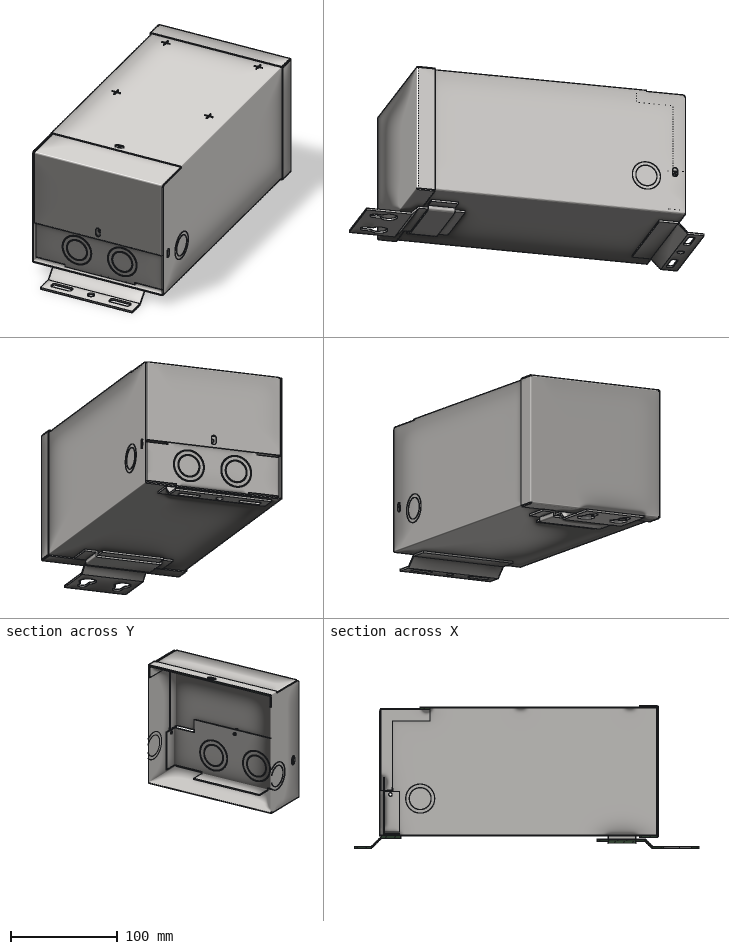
import cadquery as cq
import math


OVERALL_LENGTH = 322.44

SHEET = 1.2
BEND = 2.0
TIGHT_BEND = 1.5
STRAP_SHEET = 1.9
CUTTER = 500.0

CAP_WIDTH = 139.9
CAP_TOP = 133.57
CAP_BOTTOM = 10.3
CAP_REAR = 261.0
CAP_DEPTH = 18.2

SHELL_WIDTH = CAP_WIDTH - 2 * SHEET
SHELL_TOP = CAP_TOP - SHEET
SHELL_BOTTOM = CAP_BOTTOM + SHEET
SHELL_REAR = CAP_REAR - BEND
SHELL_INNER_WIDTH = SHELL_WIDTH - 2 * SHEET
FLOOR_TOP = SHELL_BOTTOM + SHEET
ROOF_BOTTOM = SHELL_TOP - SHEET
ROOF_FRONT = 37.7
WALL_CORNER = 3.0

CROSS_LENGTH = 8.6
CROSS_WIDTH = 0.9
CROSS_X = 48.6
CROSS_REAR_Y = 234.2
CROSS_PITCH_Y = 102.0

SLOT_LENGTH = 8.9
SLOT_WIDTH = 4.9
PILOT_DIAMETER = 3.0
ROOF_SLOT_Y = 44.2
WALL_SLOT_Y = 10.0
WALL_SLOT_Z = 52.9
FRONT_SLOT_Z = 61.9

COVER_BOTTOM = 54.4
COVER_REAR = 47.3
COVER_FLANGE = 12.0

PANEL_Y = 3.4
PANEL_SHOULDER = 53.4
PANEL_LOWER_EDGE = 15.6
PANEL_DEPTH = 15.0
TONGUE_HALF_WIDTH = 44.8
TONGUE_TOP = 66.5
FOOT_HALF_WIDTH = 36.5
WALL_PILOT_Z = 50.6

KNOCKOUT_DEPTH = SHEET / 4
FRONT_KNOCKOUT_X = 23.8
FRONT_KNOCKOUT_Z = 34.7
FRONT_KNOCKOUT_RINGS = (31.0, 22.0)
FRONT_RING_WIDTH = 0.9
WALL_KNOCKOUT_Y = 37.9
WALL_KNOCKOUT_Z = 46.7
WALL_KNOCKOUT_RINGS = (27.3, 20.6)
WALL_RING_WIDTH = 0.15

BRACKET_HALF_WIDTH = 48.2
BRACKET_TIP = -23.7
BRACKET_LOWER_BEND = -7.8
BRACKET_RISE = SHELL_BOTTOM - STRAP_SHEET
BRACKET_REAR = 19.9
BRACKET_HOLE_Y = -14.1
BRACKET_HOLE_DIAMETER = 6.7
BRACKET_SLOT_X = 30.5
BRACKET_SLOT_LENGTH = 21.2
BRACKET_SLOT_WIDTH = 6.5
BRACKET_SLOT_CORNER = 2.2

STRAP_HALF_WIDTH = 30.8
STRAP_TIP = BRACKET_TIP + OVERALL_LENGTH
STRAP_LOWER_BEND = 254.6
STRAP_FRONT = 203.2
STRAP_RISE = 6.8
STRAP_MITRE = STRAP_SHEET * math.tan(math.radians(22.5))
KEYHOLE_X = 17.5
KEYHOLE_Y = 273.5
KEYHOLE_DIAMETER = 16.2
KEYHOLE_NECK_WIDTH = 8.8
KEYHOLE_TOP = 291.5

SADDLE_FRONT = 213.6
SADDLE_REAR = 239.6
SADDLE_CLEARANCE = 0.5
SADDLE_FOOT = 11.0


def block(x_min, x_max, y_min, y_max, z_min, z_max):
    size = (x_max - x_min, y_max - y_min, z_max - z_min)
    return cq.Workplane("XY").box(*size, centered=False).translate((x_min, y_min, z_min))


def wide_block(width, y_min, y_max, z_min, z_max):
    return block(-width / 2, width / 2, y_min, y_max, z_min, z_max)


def front_plane(y):
    """Plane facing -Y, with local axes along X and Z."""
    return cq.Workplane("XZ", origin=(0, y, 0))


def left_plane(x):
    """Plane with local axes along Y and Z."""
    return cq.Workplane("YZ", origin=(x, 0, 0))


def ring_grooves(plane, centre, diameters, ring_width, depth):
    """Ring-shaped cutters, one for each outside diameter."""
    placed = plane.center(*centre)
    rings = cq.Workplane("XY")
    for diameter in diameters:
        inside = diameter - 2 * ring_width
        rings = rings.add(placed.circle(diameter / 2).circle(inside / 2).extrude(depth))
    return rings.combine()


def make_shell():
    tube = wide_block(SHELL_WIDTH, 0, SHELL_REAR, SHELL_BOTTOM, SHELL_TOP).edges("|Y").fillet(TIGHT_BEND)
    inside = wide_block(SHELL_INNER_WIDTH, 0, SHELL_REAR, FLOOR_TOP, ROOF_BOTTOM)
    shell = tube.cut(inside.edges("|Y").fillet(TIGHT_BEND - SHEET))

    wall_top = SHELL_TOP - TIGHT_BEND
    shell = shell.cut(wide_block(CAP_WIDTH, 0, ROOF_FRONT, wall_top, CAP_TOP))
    shell = shell.faces("<Y").edges("|X").edges(">Z").fillet(WALL_CORNER)

    for x in (-CROSS_X, CROSS_X):
        for y in (CROSS_REAR_Y, CROSS_REAR_Y - CROSS_PITCH_Y):
            shell = shell.cut(cross_slit(x, y))

    roof_slot = cq.Workplane("XY", origin=(0, ROOF_SLOT_Y, ROOF_BOTTOM)).slot2D(SLOT_LENGTH, SLOT_WIDTH)
    shell = shell.cut(roof_slot.extrude(2 * SHEET))

    wall_slot = left_plane(0).center(WALL_SLOT_Y, WALL_SLOT_Z).slot2D(SLOT_LENGTH, SLOT_WIDTH, 90)
    shell = shell.cut(wall_slot.extrude(CUTTER, both=True))

    for outer_face, inward in ((-SHELL_WIDTH / 2, 1), (SHELL_WIDTH / 2, -1)):
        shell = shell.cut(ring_grooves(
            left_plane(outer_face), (WALL_KNOCKOUT_Y, WALL_KNOCKOUT_Z),
            WALL_KNOCKOUT_RINGS, WALL_RING_WIDTH, inward * KNOCKOUT_DEPTH))
    return shell


def cross_slit(x, y):
    plane = cq.Workplane("XY", origin=(x, y, ROOF_BOTTOM))
    across = plane.rect(CROSS_LENGTH, CROSS_WIDTH).extrude(2 * SHEET)
    along = plane.rect(CROSS_WIDTH, CROSS_LENGTH).extrude(2 * SHEET)
    return across.union(along)


def make_cap():
    front = CAP_REAR - CAP_DEPTH
    cap = wide_block(CAP_WIDTH, front, CAP_REAR, CAP_BOTTOM, CAP_TOP).edges(">Y").fillet(BEND)
    inside = wide_block(SHELL_WIDTH, front, CAP_REAR - SHEET, SHELL_BOTTOM, SHELL_TOP)
    cap = cap.cut(inside.edges(">Y").fillet(BEND - SHEET))
    corners = (
        cq.Workplane("XZ", origin=(0, CAP_REAR, (CAP_TOP + CAP_BOTTOM) / 2))
        .rect(CAP_WIDTH, CAP_TOP - CAP_BOTTOM, forConstruction=True).vertices()
        .rect(2 * SHEET, 2 * SHEET).extrude(CAP_DEPTH)
    )
    return cap.cut(corners)


def make_cover():
    cover = rounded_cover_block(0, BEND)
    cover = cover.cut(rounded_cover_block(SHEET, BEND - SHEET))
    behind_flanges = wide_block(CAP_WIDTH, COVER_FLANGE, COVER_REAR, 0, ROOF_BOTTOM - COVER_FLANGE)
    cover = cover.cut(behind_flanges)

    front_slot = front_plane(SHEET).center(0, FRONT_SLOT_Z).slot2D(SLOT_LENGTH, SLOT_WIDTH, 90)
    cover = cover.cut(front_slot.extrude(2 * SHEET))
    roof_pilot = cq.Workplane("XY", origin=(0, ROOF_SLOT_Y, ROOF_BOTTOM)).circle(PILOT_DIAMETER / 2)
    return cover.cut(roof_pilot.extrude(-2 * SHEET))


def rounded_cover_block(inset, radius):
    """Cover envelope moved in by the inset at its sides, front and top, with rounded bends."""
    solid = wide_block(SHELL_INNER_WIDTH - 2 * inset, inset, COVER_REAR, COVER_BOTTOM, ROOF_BOTTOM - inset)
    return solid.edges("(<Y and |Z) or (>Z and |Y) or (<Y and >Z)").fillet(radius)


def make_panel():
    rear = PANEL_Y + PANEL_DEPTH
    inner_y = PANEL_Y + SHEET
    inner_width = SHELL_INNER_WIDTH - 2 * SHEET
    panel = wide_block(SHELL_INNER_WIDTH, PANEL_Y, rear, PANEL_LOWER_EDGE, PANEL_SHOULDER)
    panel = panel.edges("<Y and |Z").fillet(BEND)
    hollow = wide_block(inner_width, inner_y, rear, PANEL_LOWER_EDGE, PANEL_SHOULDER)
    panel = panel.cut(hollow.edges("<Y and |Z").fillet(BEND - SHEET))

    panel = panel.union(wide_block(2 * TONGUE_HALF_WIDTH, PANEL_Y, inner_y, PANEL_LOWER_EDGE, TONGUE_TOP))

    foot = wide_block(2 * FOOT_HALF_WIDTH, PANEL_Y, rear, FLOOR_TOP, PANEL_LOWER_EDGE)
    foot = foot.edges("<Y and <Z").fillet(TIGHT_BEND)
    above_foot = wide_block(2 * FOOT_HALF_WIDTH, inner_y, rear, FLOOR_TOP + SHEET, PANEL_LOWER_EDGE)
    panel = panel.union(foot.cut(above_foot.edges("<Y and <Z").fillet(TIGHT_BEND - SHEET)))

    front_pilot = front_plane(inner_y).center(0, FRONT_SLOT_Z).circle(PILOT_DIAMETER / 2)
    panel = panel.cut(front_pilot.extrude(SHEET))
    wall_pilots = left_plane(0).center(WALL_SLOT_Y, WALL_PILOT_Z).circle(PILOT_DIAMETER / 2)
    panel = panel.cut(wall_pilots.extrude(CUTTER, both=True))

    for x in (-FRONT_KNOCKOUT_X, FRONT_KNOCKOUT_X):
        panel = panel.cut(ring_grooves(
            front_plane(PANEL_Y), (x, FRONT_KNOCKOUT_Z),
            FRONT_KNOCKOUT_RINGS, FRONT_RING_WIDTH, -KNOCKOUT_DEPTH))
    return panel


def stepped_strip(half_width, tip, lower_bend, end, rise, mitre):
    """Strip lying on the mounting plane at its tip, with a 45 degree step up towards its end.

    The mitre is how far the top-side corners sit behind the bottom-side ones.
    """
    upper_bend = lower_bend + math.copysign(rise, end - lower_bend)
    profile = [
        (tip, 0),
        (lower_bend, 0),
        (upper_bend, rise),
        (end, rise),
        (end, rise + STRAP_SHEET),
        (upper_bend + mitre, rise + STRAP_SHEET),
        (lower_bend + mitre, STRAP_SHEET),
        (tip, STRAP_SHEET),
    ]
    return left_plane(0).polyline(profile).close().extrude(half_width, both=True)


def make_front_bracket():
    bracket = stepped_strip(
        BRACKET_HALF_WIDTH, BRACKET_TIP, BRACKET_LOWER_BEND, BRACKET_REAR, BRACKET_RISE, 0)
    row = cq.Workplane("XY", origin=(0, BRACKET_HOLE_Y, 0))
    bracket = bracket.cut(row.circle(BRACKET_HOLE_DIAMETER / 2).extrude(STRAP_SHEET))
    slots = row.pushPoints([(-BRACKET_SLOT_X, 0), (BRACKET_SLOT_X, 0)])
    slots = slots.rect(BRACKET_SLOT_LENGTH, BRACKET_SLOT_WIDTH).extrude(STRAP_SHEET)
    return bracket.cut(slots.edges("|Z").fillet(BRACKET_SLOT_CORNER))


def make_rear_strap():
    strap = stepped_strip(
        STRAP_HALF_WIDTH, STRAP_TIP, STRAP_LOWER_BEND, STRAP_FRONT, STRAP_RISE, STRAP_MITRE)
    neck_end_y = KEYHOLE_TOP - KEYHOLE_NECK_WIDTH / 2
    for x in (-KEYHOLE_X, KEYHOLE_X):
        plane = cq.Workplane("XY", origin=(x, 0, 0))
        strap = strap.cut(plane.center(0, KEYHOLE_Y).circle(KEYHOLE_DIAMETER / 2).extrude(STRAP_SHEET))
        strap = strap.cut(plane.center(0, neck_end_y).circle(KEYHOLE_NECK_WIDTH / 2).extrude(STRAP_SHEET))
        neck = plane.center(0, (KEYHOLE_Y + neck_end_y) / 2).rect(KEYHOLE_NECK_WIDTH, neck_end_y - KEYHOLE_Y)
        strap = strap.cut(neck.extrude(STRAP_SHEET))
    return strap


def make_saddle():
    inner = STRAP_HALF_WIDTH + SADDLE_CLEARANCE
    outer = inner + STRAP_SHEET
    crown_bottom = STRAP_RISE - STRAP_SHEET
    span = (SADDLE_FRONT, SADDLE_REAR)
    saddle = wide_block(2 * outer, *span, crown_bottom, SHELL_BOTTOM).edges("|Y and <Z").fillet(STRAP_SHEET)
    feet = wide_block(2 * (outer + SADDLE_FOOT), *span, SHELL_BOTTOM - STRAP_SHEET, SHELL_BOTTOM)
    return saddle.union(feet).cut(wide_block(2 * inner, *span, STRAP_RISE, SHELL_BOTTOM))


bodies = [
    make_shell(),
    make_cap(),
    make_cover(),
    make_panel(),
    make_front_bracket(),
    make_rear_strap(),
    make_saddle(),
]
result = cq.Compound.makeCompound([body.solids().val() for body in bodies])